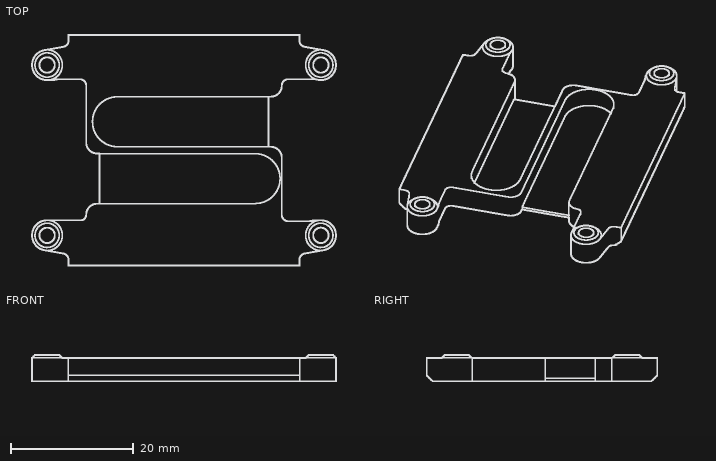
import cadquery as cq
import math

overall_length = 49.8
plate_width = 37.8
plate_length = 37.85
plate_height = 3.85
waist_length = 32.05
bottom_chamfer = 1.0

lug_radius = 2.5
lug_x = overall_length / 2 - lug_radius
lug_y = 13.95
lug_taper = math.radians(10)
lug_edge_y = 11.6
wide_lug_edge_y = lug_y - lug_radius
hole_diameter = 2.5
boss_height = 0.5
boss_taper_degrees = 45
outer_fillet = 1.0
inner_fillet = 1.0
wide_lug_fillet = 0.85
step_start = 1.05
step_end = 1.8

floor_thickness = 0.5
floor_end_x = 13.85
divider_width = 1.15
pocket_width = 8.15
pocket_center_y = (divider_width + pocket_width) / 2
pocket_radius = pocket_width / 2
upper_pocket_tip = 15.0
lower_pocket_tip = 15.75
mouth_radius = 1.85


def box_between(x_start, x_end, y_start, y_end, height):
    """Box standing on the bottom plane between two opposite corners."""
    return (
        cq.Workplane("XY")
        .box(x_end - x_start, y_end - y_start, height, centered=False)
        .translate((x_start, y_start, 0))
    )


def plate_body():
    """Wide plate with sloped lower long edges, narrowed between the lugs."""
    body = (
        cq.Workplane("XY")
        .box(plate_length, plate_width, plate_height, centered=(True, True, False))
        .faces("<Z")
        .edges("|X")
        .chamfer(bottom_chamfer)
    )
    for side in (-1, 1):
        for end in (-1, 1):
            edge_y = wide_lug_edge_y if (side, end) == (-1, -1) else lug_edge_y
            notch_ends = sorted((side * waist_length / 2, side * plate_length / 2))
            notch_sides = sorted((0, end * edge_y))
            body = body.cut(box_between(*notch_ends, *notch_sides, plate_height))
    return body


def lug(side, end, edge_y):
    """Round lug on a tapered arm, with a small inner step on one diagonal pair."""
    tangent_x = lug_x + lug_radius * math.sin(lug_taper)
    tangent_y = lug_y + lug_radius * math.cos(lug_taper)
    root_x = waist_length / 2
    root_y = tangent_y + (tangent_x - root_x) * math.tan(lug_taper)
    inner_edge = [(root_x, edge_y)]
    if side != end:
        inner_edge.append((lug_x - step_end, edge_y))
        inner_edge.append((lug_x - step_start, lug_y - lug_radius))
        inner_edge.append((lug_x, lug_y - lug_radius))
    else:
        chord_half = math.sqrt(lug_radius**2 - (lug_y - edge_y) ** 2)
        inner_edge.append((lug_x - chord_half, edge_y))
    corners = inner_edge + [(lug_x, lug_y), (tangent_x, tangent_y), (root_x, root_y)]
    arm = (
        cq.Workplane("XY")
        .polyline([(side * x, end * y) for x, y in corners])
        .close()
        .extrude(plate_height)
    )
    disc = cq.Workplane("XY").center(side * lug_x, end * lug_y).circle(lug_radius).extrude(plate_height)
    return arm.union(disc)


def vertical_edge_at(x, y):
    """Selector for the upright edge standing at one point of the outline."""
    reach = 0.1
    return cq.selectors.BoxSelector(
        (x - reach, y - reach, 0), (x + reach, y + reach, plate_height), boundingbox=False
    )


def add_lug(body, side, end):
    """Join one lug and round both corners where its arm meets the plate."""
    is_wide = (side, end) == (-1, -1)
    edge_y = wide_lug_edge_y if is_wide else lug_edge_y
    fillet = wide_lug_fillet if is_wide else inner_fillet
    body = body.union(lug(side, end, edge_y))
    taper_y = lug_y + lug_radius / math.cos(lug_taper) + (lug_x - plate_length / 2) * math.tan(lug_taper)
    body = body.edges(vertical_edge_at(side * plate_length / 2, end * taper_y)).fillet(outer_fillet)
    return body.edges(vertical_edge_at(side * waist_length / 2, end * edge_y)).fillet(fillet)


def cut_pocket(body, open_side, tip_distance):
    """Cut a round-tipped pocket with a thin floor that stops short of its mouth."""
    center_y = open_side * pocket_center_y
    low_y = center_y - pocket_radius
    high_y = center_y + pocket_radius
    tip_center_x = -open_side * (tip_distance - pocket_radius)
    mouth_x = open_side * waist_length / 2
    channel_ends = sorted((tip_center_x, mouth_x))
    channel = box_between(*channel_ends, low_y, high_y, plate_height)
    tip = cq.Workplane("XY").center(tip_center_x, center_y).circle(pocket_radius).extrude(plate_height)
    body = body.cut(channel.union(tip).translate((0, 0, floor_thickness)))
    floor_ends = sorted((open_side * floor_end_x, mouth_x))
    body = body.cut(box_between(*floor_ends, low_y, high_y, plate_height))
    for y in (low_y, high_y):
        body = body.edges(vertical_edge_at(mouth_x, y)).fillet(mouth_radius)
    return body


def add_boss(body, side, end):
    """Raise a conical boss on one lug and drill it through."""
    x = side * lug_x
    y = end * lug_y
    boss = (
        cq.Workplane("XY", origin=(x, y, plate_height))
        .circle(lug_radius)
        .extrude(boss_height, taper=boss_taper_degrees)
    )
    hole = cq.Workplane("XY", origin=(x, y, 0)).circle(hole_diameter / 2).extrude(plate_height + boss_height)
    return body.union(boss).cut(hole)


lug_corners = [(side, end) for side in (-1, 1) for end in (-1, 1)]

result = plate_body()
for side, end in lug_corners:
    result = add_lug(result, side, end)
result = cut_pocket(result, 1, upper_pocket_tip)
result = cut_pocket(result, -1, lower_pocket_tip)
for side, end in lug_corners:
    result = add_boss(result, side, end)